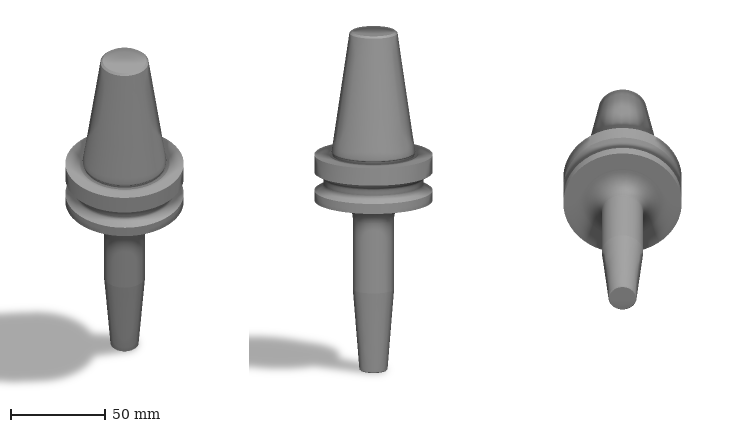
import cadquery as cq
import math


TAPER_RATIO = 7 / 24
GAUGE_DIAMETER = 44.45
TAPER_LENGTH = 65.4
TAPER_TOP_CHAMFER = 1.0

TAPER_FOOT_Z = -0.5
RELIEF_INNER_DIAMETER = 43.4
RELIEF_OUTER_DIAMETER = 47.8
RELIEF_WALL_WIDTH = 0.8
RELIEF_DEPTH = 0.3

FLANGE_DIAMETER = 63.0
FLANGE_TOP_Z = -2.0
FLANGE_BOTTOM_Z = -27.0

V_GROOVE_CENTER_Z = -16.55
V_GROOVE_ROOT_DIAMETER = 53.0
V_GROOVE_MOUTH_WIDTH = 10.0
V_GROOVE_WALL_ANGLE = math.radians(30)
V_GROOVE_ROOT_FILLET = 1.0

SHANK_DIAMETER = 22.0
SHANK_FILLET = 10.0
NOSE_DIAMETER = 15.0
NOSE_LENGTH = 44.5
NOSE_CHAMFER = 0.5
PROJECTION = 120.0


def taper_radius(z):
    """Radius of the spindle taper at height z."""
    return (GAUGE_DIAMETER - TAPER_RATIO * z) / 2


def make_taper():
    top_z = TAPER_LENGTH
    chamfer_z = top_z - TAPER_TOP_CHAMFER
    relief_radius = RELIEF_INNER_DIAMETER / 2
    foot_radius = GAUGE_DIAMETER / 2
    return (
        cq.Workplane("XZ")
        .moveTo(0, FLANGE_TOP_Z - RELIEF_DEPTH)
        .lineTo(relief_radius, FLANGE_TOP_Z - RELIEF_DEPTH)
        .lineTo(relief_radius, TAPER_FOOT_Z - (foot_radius - relief_radius))
        .lineTo(foot_radius, TAPER_FOOT_Z)
        .lineTo(foot_radius, 0)
        .lineTo(taper_radius(chamfer_z), chamfer_z)
        .lineTo(taper_radius(top_z) - TAPER_TOP_CHAMFER, top_z)
        .lineTo(0, top_z)
        .close()
        .revolve(360, (0, 0, 0), (0, 1, 0))
    )


def make_flange():
    return (
        cq.Workplane("XY", origin=(0, 0, FLANGE_BOTTOM_Z))
        .circle(FLANGE_DIAMETER / 2)
        .extrude(FLANGE_TOP_Z - FLANGE_BOTTOM_Z)
    )


def make_relief_groove():
    """Shallow cone frustum that sinks the flange face around the taper."""
    outer_radius = RELIEF_OUTER_DIAMETER / 2
    floor_z = FLANGE_TOP_Z - RELIEF_DEPTH
    return (
        cq.Workplane("XZ")
        .moveTo(0, FLANGE_TOP_Z)
        .lineTo(outer_radius, FLANGE_TOP_Z)
        .lineTo(outer_radius - RELIEF_WALL_WIDTH, floor_z)
        .lineTo(0, floor_z)
        .close()
        .revolve(360, (0, 0, 0), (0, 1, 0))
    )


def make_v_groove():
    """Ring that cuts the V-groove, with rounded root corners."""
    mouth_radius = FLANGE_DIAMETER / 2
    root_radius = V_GROOVE_ROOT_DIAMETER / 2
    wall_rise = (mouth_radius - root_radius) * math.tan(V_GROOVE_WALL_ANGLE)
    half_mouth = V_GROOVE_MOUTH_WIDTH / 2
    half_root = half_mouth - wall_rise
    ring = (
        cq.Workplane("XZ")
        .moveTo(mouth_radius, V_GROOVE_CENTER_Z + half_mouth)
        .lineTo(root_radius, V_GROOVE_CENTER_Z + half_root)
        .lineTo(root_radius, V_GROOVE_CENTER_Z - half_root)
        .lineTo(mouth_radius, V_GROOVE_CENTER_Z - half_mouth)
        .close()
        .revolve(360, (0, 0, 0), (0, 1, 0))
    )
    root_edges = cq.selectors.RadiusNthSelector(0)
    return ring.edges("%CIRCLE").edges(root_edges).fillet(V_GROOVE_ROOT_FILLET)


def make_shank():
    shank_radius = SHANK_DIAMETER / 2
    nose_radius = NOSE_DIAMETER / 2
    tip_z = -PROJECTION
    nose_top_z = tip_z + NOSE_LENGTH
    return (
        cq.Workplane("YZ")
        .moveTo(0, FLANGE_BOTTOM_Z)
        .lineTo(shank_radius + SHANK_FILLET, FLANGE_BOTTOM_Z)
        .radiusArc((shank_radius, FLANGE_BOTTOM_Z - SHANK_FILLET), -SHANK_FILLET)
        .lineTo(shank_radius, nose_top_z)
        .lineTo(nose_radius, tip_z + NOSE_CHAMFER)
        .lineTo(nose_radius - NOSE_CHAMFER, tip_z)
        .lineTo(0, tip_z)
        .close()
        .revolve(360, (0, 0, 0), (0, 1, 0))
    )


flange = make_flange().cut(make_relief_groove()).cut(make_v_groove())
result = flange.union(make_taper()).union(make_shank())